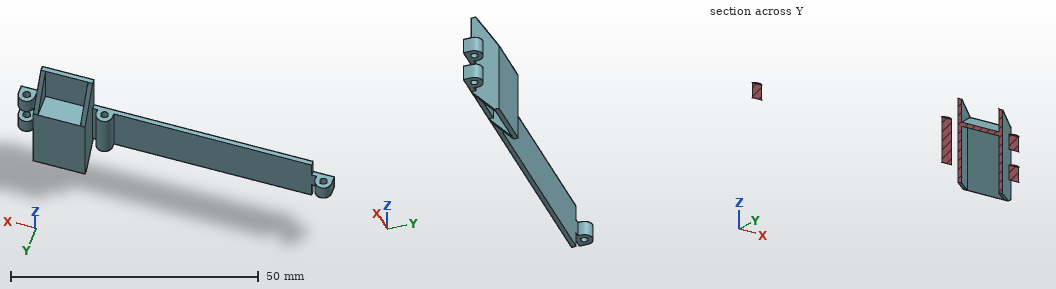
import cadquery as cq

wall = 1.0
plate_height = 10.0
total_height = 23.96
depth = 6.0

lug_width = 3.5
lug_radius = lug_width / 2
hole_diameter = 1.5
lug_gap = 1.0
tab_length = lug_width + lug_gap
knuckle_height = plate_height / 3

housing_width = 11.0
plate_bottom = 5.63

total_length = 66.5
plate_start = tab_length
housing_end = total_length - tab_length
housing_start = housing_end - housing_width
end_lug_x = lug_radius
middle_lug_x = housing_start - lug_gap - lug_radius
far_lug_x = total_length - lug_radius

plate_top = plate_bottom + plate_height
middle_knuckle_bottom = plate_bottom + knuckle_height
upper_knuckle_bottom = plate_top - knuckle_height


def block(x_start, x_end, y_start, y_end, z_start, z_end):
    """Box between the given limits."""
    size = (x_end - x_start, y_end - y_start, z_end - z_start)
    return cq.Workplane("XY").box(*size, centered=False).translate((x_start, y_start, z_start))


def lug(center_x, bottom, height):
    """Round-backed lug with a square front, standing along Z."""
    return (
        cq.Workplane("XY", origin=(center_x, 0, bottom))
        .moveTo(-lug_radius, 0)
        .lineTo(lug_radius, 0)
        .lineTo(lug_radius, lug_radius)
        .threePointArc((0, lug_width), (-lug_radius, lug_radius))
        .close()
        .extrude(height)
    )


def pin_hole(center_x):
    """Cutter for a vertical pin hole through the lugs at one X position."""
    return (
        cq.Workplane("XY", origin=(center_x, lug_radius, 0))
        .circle(hole_diameter / 2)
        .extrude(total_height)
    )


def side_wall(x_start):
    """Housing cheek with a slope above and a slope below the plate."""
    return (
        cq.Workplane("YZ", origin=(x_start, 0, 0))
        .moveTo(0, plate_bottom)
        .lineTo(depth - wall, 0)
        .lineTo(depth, 0)
        .lineTo(depth, plate_top)
        .lineTo(wall, total_height)
        .lineTo(0, total_height)
        .close()
        .extrude(wall)
    )


def housing():
    """Two cheeks joined by a front wall, a back wall and a shelf."""
    front = block(housing_start, housing_end, 0, wall, plate_bottom, total_height)
    back = block(housing_start, housing_end, depth - wall, depth, 0, plate_top)
    shelf = block(housing_start, housing_end, 0, depth, plate_top - wall, plate_top)
    body = front.union(back).union(shelf)
    for x_start in (housing_start, housing_end - wall):
        body = body.union(side_wall(x_start))
    return body


def hinge_plate():
    """Plate with one tab at the near end and two tabs at the far end."""
    plate = block(plate_start, housing_end, 0, wall, plate_bottom, plate_top)
    knuckles = [
        (end_lug_x, middle_knuckle_bottom, 0, plate_start),
        (far_lug_x, plate_bottom, housing_end, total_length),
        (far_lug_x, upper_knuckle_bottom, housing_end, total_length),
    ]
    for lug_x, bottom, tab_start, tab_end in knuckles:
        tab = block(tab_start, tab_end, 0, wall, bottom, bottom + knuckle_height)
        plate = plate.union(tab).union(lug(lug_x, bottom, knuckle_height))
    return plate.union(lug(middle_lug_x, plate_bottom, plate_height))


result = hinge_plate().union(housing())
for hole_x in (end_lug_x, middle_lug_x, far_lug_x):
    result = result.cut(pin_hole(hole_x))